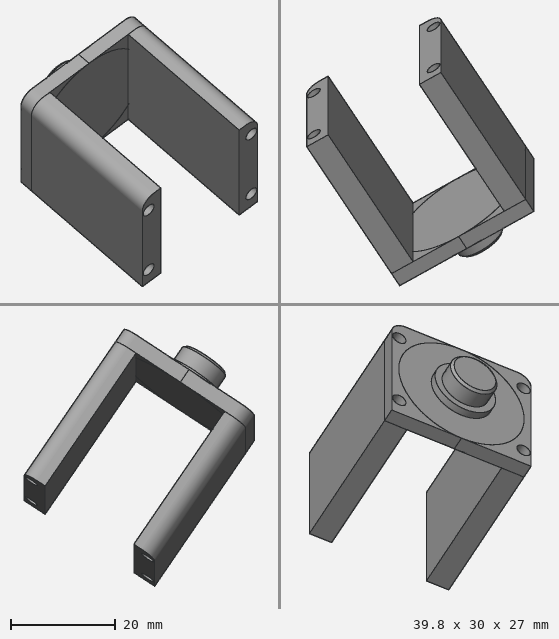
import cadquery as cq

total_length = 39.8
width = 30.0
height = 27.0
corner_radius = 3.0

plate_thickness = 3.0
wall_thickness = 4.8

hole_diameter = 2.83
hole_offset_y = 13.37
hole_spacing_z = 18.9
hole_drop = 0.1

disc_diameter = height
collar_diameter = 13.0
collar_length = 1.6
shaft_diameter = 10.0
shaft_length = 4.0
shaft_chamfer = 0.5

wall_length = total_length - shaft_length - collar_length - plate_thickness


def cylinder_along_x(diameter, start, length):
    """Round bar on the X axis, running from start toward +X."""
    return cq.Workplane("YZ", origin=(start, 0, 0)).circle(diameter / 2).extrude(length)


def side_block(side, start, length, thickness):
    """Block inside the outer face of one side, top edge rounded, with both screw holes through it."""
    centre_y = side * (width - thickness) / 2
    outer_top_edge = cq.selectors.NearestToPointSelector((start + length / 2, side * width / 2, height / 2))
    block = (
        cq.Workplane("YZ", origin=(start, 0, 0))
        .center(centre_y, 0)
        .rect(thickness, height)
        .extrude(length)
        .edges(outer_top_edge)
        .fillet(corner_radius)
    )
    upper_hole_z = hole_spacing_z / 2 - hole_drop
    lower_hole_z = -hole_spacing_z / 2 - hole_drop
    screw_holes = (
        cq.Workplane("YZ", origin=(start, 0, 0))
        .pushPoints([(side * hole_offset_y, z) for z in (lower_hole_z, upper_hole_z)])
        .circle(hole_diameter / 2)
        .extrude(length)
    )
    return block.cut(screw_holes)


def make_plate_half(side):
    """Half of the front plate; the disc opening reaches the top and bottom edges and parts the halves."""
    opening = cylinder_along_x(disc_diameter, 0, plate_thickness)
    return side_block(side, 0, plate_thickness, width / 2).cut(opening)


def make_wall(side):
    """Side wall behind the plate, with the screw holes running its full length."""
    return side_block(side, plate_thickness, wall_length, wall_thickness)


def make_disc():
    """Disc filling the plate opening, with the collar on its front face."""
    disc = cylinder_along_x(disc_diameter, 0, plate_thickness)
    collar = cylinder_along_x(collar_diameter, -collar_length, collar_length)
    return disc.union(collar)


def make_shaft():
    """Shaft seated on the collar face, chamfered at its free end."""
    shaft = cylinder_along_x(shaft_diameter, -collar_length - shaft_length, shaft_length)
    return shaft.faces("<X").chamfer(shaft_chamfer)


sides = (-1, 1)
plate_halves = [make_plate_half(side) for side in sides]
walls = [make_wall(side) for side in sides]
disc = make_disc()
shaft = make_shaft()

result = cq.Compound.makeCompound(
    [
        *[half.solids().val() for half in plate_halves],
        *[wall.solids().val() for wall in walls],
        disc.solids().val(),
        shaft.solids().val(),
    ]
)